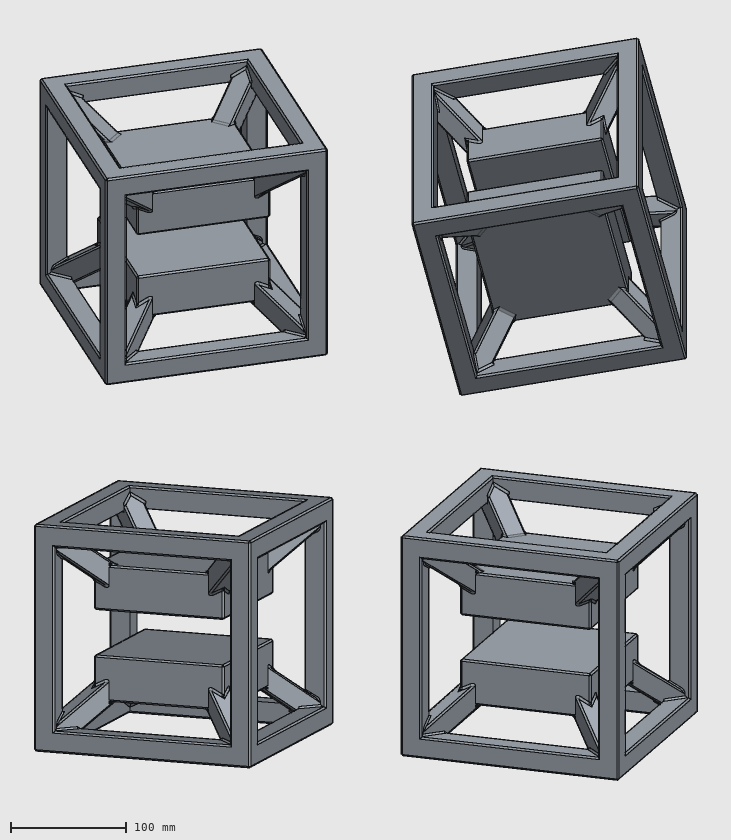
import cadquery as cq
import math

SIDE = 200.0
BAR = 19.0
STRUT = 20.0
BLOCK_WIDTH = 120.0
BLOCK_HEIGHT = 40.0
BLOCK_CENTRE = 40.0
CHAMFER = 1.5
STRUT_START = 14.0
STRUT_END = 56.0

SIGNS = (-1, 1)
TOLERANCE = 0.002


def make_frame():
    opening = SIDE - 2 * BAR
    frame = cq.Workplane("XY").box(SIDE, SIDE, SIDE)
    frame = frame.cut(cq.Workplane("XY").box(SIDE, opening, opening))
    frame = frame.cut(cq.Workplane("XY").box(opening, SIDE, opening))
    return frame.cut(cq.Workplane("XY").box(opening, opening, SIDE))


def make_block():
    return cq.Workplane("XY").box(BLOCK_WIDTH, BLOCK_WIDTH, BLOCK_HEIGHT)


def make_strut(x_sign, y_sign, z_sign):
    """Square bar along a body diagonal, with two faces upright."""
    start = SIDE / 2 - STRUT_START
    length = (STRUT_END - STRUT_START) * math.sqrt(3)
    section = cq.Plane(
        origin=(x_sign * start, y_sign * start, z_sign * start),
        xDir=(-y_sign, x_sign, 0),
        normal=(-x_sign, -y_sign, -z_sign),
    )
    return cq.Workplane(section).rect(STRUT, STRUT).extrude(length)


def edge_span(edge):
    """Absolute X, Y and Z extent of a straight edge."""
    span = edge.endPoint() - edge.startPoint()
    return [abs(size) for size in span.toTuple()]


def is_strut_or_joint_edge(edge):
    """Edges along the struts, or where a strut meets the frame or a block, slant in space."""
    return sum(size > TOLERANCE for size in edge_span(edge)) > 1


def is_frame_edge(edge):
    """Straight edges lying in an outer face of the cube, except short ones running inwards."""
    furthest = max(abs(place) for place in edge.Center().toTuple())
    return furthest > SIDE / 2 - TOLERANCE


body = make_frame()
struts = cq.Workplane("XY")
for z_sign in SIGNS:
    body = body.union(make_block().translate((0, 0, z_sign * BLOCK_CENTRE)))
    for x_sign in SIGNS:
        for y_sign in SIGNS:
            strut = make_strut(x_sign, y_sign, z_sign)
            body = body.union(strut)
            struts = struts.add(strut.edges().chamfer(CHAMFER))

edges = [e for e in body.edges().vals() if is_strut_or_joint_edge(e) or is_frame_edge(e)]
body = body.newObject(edges).chamfer(CHAMFER)

block_trim = make_block().cut(make_block().edges().chamfer(CHAMFER))
for z_sign in SIGNS:
    trim = block_trim.translate((0, 0, z_sign * BLOCK_CENTRE))
    for strut in struts.vals():
        trim = trim.cut(cq.Workplane(strut))
    body = body.cut(trim)

result = body